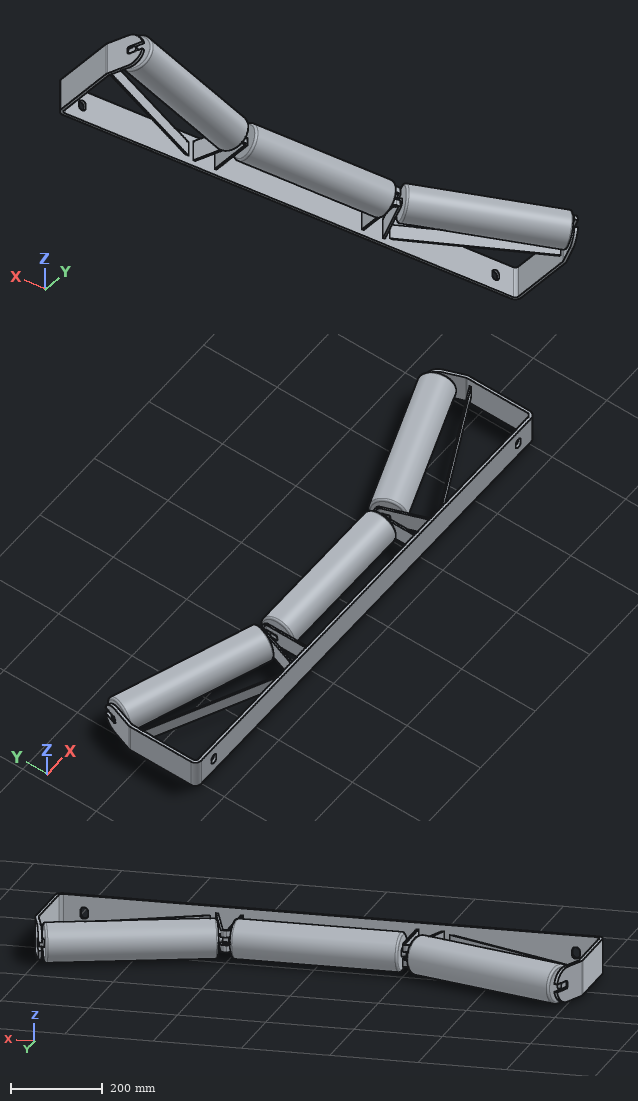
import cadquery as cq
import math


FRAME_LENGTH = 1240.0
STRIP_WIDTH = 80.0
FRAME_THICKNESS = 8.0
FRAME_INNER_BEND_RADIUS = 8.0
ARM_BEND_HEIGHT = 184.0
ARM_LENGTH = 96.0
TROUGH_ANGLE = 20.0
MOUNT_HOLE_SPACING = 1114.0
MOUNT_HOLE_WIDTH = 18.0
MOUNT_HOLE_LENGTH = 26.0

ROLLER_DIAMETER = 89.0
ROLLER_LENGTH = 380.0
ROLLER_EDGE_RADIUS = 5.0
SHAFT_DIAMETER = 20.0
SHAFT_FLAT_WIDTH = 14.0
SHAFT_LENGTH = 402.0
CENTER_ROLLER_HEIGHT = 102.5
OVERALL_HEIGHT = 281.47

SUPPORT_DISTANCE = 196.0

SLOT_WIDTH = 18.0
SLOT_CORNER_RADIUS = 5.0
SLOT_CUT_HEIGHT = 60.0

BRACKET_WIDTH = 50.0
BRACKET_THICKNESS = 5.0
BRACKET_INNER_BEND_RADIUS = 1.0
BRACKET_HEIGHT = 128.5

BRACE_THICKNESS = 4.0
BRACE_WIDTH = 36.0
BRACE_WALL_HEIGHT = 174.0
BRACE_FOOT_X = 271.0

SIN_TROUGH = math.sin(math.radians(TROUGH_ANGLE))
COS_TROUGH = math.cos(math.radians(TROUGH_ANGLE))
TAN_TROUGH = math.tan(math.radians(TROUGH_ANGLE))
TAN_HALF_TROUGH = math.tan(math.radians(TROUGH_ANGLE / 2))

HALF_LENGTH = FRAME_LENGTH / 2

SIDE_ROLLER_Y = (
    OVERALL_HEIGHT
    - ROLLER_EDGE_RADIUS
    - (ROLLER_LENGTH / 2 - ROLLER_EDGE_RADIUS) * SIN_TROUGH
    - (ROLLER_DIAMETER / 2 - ROLLER_EDGE_RADIUS) * COS_TROUGH
)
SIDE_ROLLER_X = HALF_LENGTH - (
    SUPPORT_DISTANCE + FRAME_THICKNESS + (SIDE_ROLLER_Y - ARM_BEND_HEIGHT) * SIN_TROUGH
) / COS_TROUGH


def strip_solid(outline, width):
    """Extrude an XY outline symmetrically about Z = 0."""
    return cq.Workplane("XY").polyline(outline).close().extrude(width / 2, both=True)


def round_bends(solid, corners, radius):
    """Round the edges that run along Z through the given XY corners."""
    for x, y in corners:
        edge = cq.selectors.NearestToPointSelector((x, y, 0))
        solid = solid.edges("|Z").edges(edge).fillet(radius)
    return solid


def on_side_axis(shape):
    """Carry a shape built around the X axis to the axis of the left side roller."""
    tilted = shape.rotate((0, 0, 0), (0, 0, 1), -TROUGH_ANGLE)
    return tilted.translate((-SIDE_ROLLER_X, SIDE_ROLLER_Y, 0))


def mirrored(shape):
    """Right-hand counterpart of a left-hand shape."""
    return shape.mirror("YZ")


def slot_cutter(start_x, length):
    """Shaft slot through a sheet crossing the X axis, open towards +Y."""
    cutter = cq.Workplane("XY").box(length, SLOT_CUT_HEIGHT, SLOT_WIDTH, centered=(False, False, True))
    cutter = cutter.edges("|X and <Y").fillet(SLOT_CORNER_RADIUS)
    return cutter.translate((start_x, -SHAFT_DIAMETER / 2, 0))


def arm_tip_cutter():
    """Stock outside the half-round end of the left arm, in the axes of the side roller."""
    bend_y = (ARM_BEND_HEIGHT - SIDE_ROLLER_Y) * COS_TROUGH - (HALF_LENGTH - SIDE_ROLLER_X) * SIN_TROUGH
    tip_radius = STRIP_WIDTH / 2
    round_center_y = bend_y + ARM_LENGTH - tip_radius
    block = cq.Workplane("XY").box(
        2 * FRAME_THICKNESS, STRIP_WIDTH, 2 * STRIP_WIDTH, centered=(True, False, True)
    )
    disc = cq.Workplane("YZ").circle(tip_radius).extrude(FRAME_THICKNESS, both=True)
    return block.cut(disc).translate((-SUPPORT_DISTANCE - FRAME_THICKNESS / 2, round_center_y, 0))


def make_frame():
    t = FRAME_THICKNESS
    tip_x = -HALF_LENGTH + ARM_LENGTH * SIN_TROUGH
    tip_y = ARM_BEND_HEIGHT + ARM_LENGTH * COS_TROUGH
    outer_bends = [(-HALF_LENGTH, 0), (-HALF_LENGTH, ARM_BEND_HEIGHT)]
    inner_bends = [(-HALF_LENGTH + t, t), (-HALF_LENGTH + t, ARM_BEND_HEIGHT - t * TAN_HALF_TROUGH)]
    tip = [(tip_x, tip_y), (tip_x + t * COS_TROUGH, tip_y - t * SIN_TROUGH)]
    half_frame = strip_solid([(0, 0)] + outer_bends + tip + inner_bends[::-1] + [(0, t)], STRIP_WIDTH)
    half_frame = round_bends(half_frame, outer_bends, FRAME_INNER_BEND_RADIUS + t)
    half_frame = round_bends(half_frame, inner_bends, FRAME_INNER_BEND_RADIUS)

    half_frame = half_frame.cut(on_side_axis(arm_tip_cutter()))
    slot = slot_cutter(-SUPPORT_DISTANCE - 2 * t, 3 * t)
    half_frame = half_frame.cut(on_side_axis(slot))

    mount_hole = (
        cq.Workplane("XZ")
        .center(-MOUNT_HOLE_SPACING / 2, 0)
        .slot2D(MOUNT_HOLE_LENGTH, MOUNT_HOLE_WIDTH, 90)
        .extrude(-t)
    )
    half_frame = half_frame.cut(mount_hole)
    return half_frame.union(mirrored(half_frame)).clean()


def make_bracket():
    """Left folded bracket: an upright leg, a level ridge and a leg tilted with the side roller."""
    t = BRACKET_THICKNESS
    foot_y = FRAME_THICKNESS
    face_x = -SIDE_ROLLER_X + SUPPORT_DISTANCE * COS_TROUGH
    face_y = SIDE_ROLLER_Y - SUPPORT_DISTANCE * SIN_TROUGH

    def tilted_face_x(y):
        return face_x + (y - face_y) * TAN_TROUGH

    upright_x = -SUPPORT_DISTANCE
    leg_thickness_x = t / COS_TROUGH
    under_ridge_y = BRACKET_HEIGHT - t
    outer_bends = [(upright_x, BRACKET_HEIGHT), (tilted_face_x(BRACKET_HEIGHT), BRACKET_HEIGHT)]
    inner_bends = [
        (tilted_face_x(under_ridge_y) + leg_thickness_x, under_ridge_y),
        (upright_x - t, under_ridge_y),
    ]
    feet_tilted = [
        (tilted_face_x(foot_y), foot_y),
        (tilted_face_x(foot_y) + leg_thickness_x, foot_y),
    ]
    feet_upright = [(upright_x - t, foot_y), (upright_x, foot_y)]
    bracket = strip_solid(outer_bends + feet_tilted + inner_bends + feet_upright, BRACKET_WIDTH)
    bracket = round_bends(bracket, outer_bends, BRACKET_INNER_BEND_RADIUS + t)
    bracket = round_bends(bracket, inner_bends, BRACKET_INNER_BEND_RADIUS)

    upright_slot = slot_cutter(upright_x - 2 * t, 3 * t).translate((0, CENTER_ROLLER_HEIGHT, 0))
    tilted_slot = on_side_axis(slot_cutter(SUPPORT_DISTANCE - t, 3 * t))
    return bracket.cut(upright_slot).cut(tilted_slot)


def make_brace():
    """Left flat brace from the frame wall down to the frame base."""
    wall_x = -HALF_LENGTH + FRAME_THICKNESS
    foot_y = FRAME_THICKNESS
    slope = math.atan2(BRACE_WALL_HEIGHT - foot_y, -BRACE_FOOT_X - wall_x)
    outline = [
        (wall_x, BRACE_WALL_HEIGHT),
        (-BRACE_FOOT_X, foot_y),
        (-BRACE_FOOT_X - BRACE_THICKNESS / math.sin(slope), foot_y),
        (wall_x, BRACE_WALL_HEIGHT - BRACE_THICKNESS / math.cos(slope)),
    ]
    return strip_solid(outline, BRACE_WIDTH)


def round_bar(diameter, length):
    """Round bar along X, centred on the origin."""
    return cq.Workplane("YZ").circle(diameter / 2).extrude(length).translate((-length / 2, 0, 0))


def make_roller():
    """Roller along X at the origin, with a shaft flatted where it rests in the slots."""
    drum = round_bar(ROLLER_DIAMETER, ROLLER_LENGTH).faces("|X").edges().fillet(ROLLER_EDGE_RADIUS)
    shaft_core = round_bar(SHAFT_DIAMETER, 2 * SUPPORT_DISTANCE)
    flats = cq.Workplane("XY").box(SHAFT_LENGTH, SHAFT_DIAMETER, SHAFT_FLAT_WIDTH)
    shaft_ends = round_bar(SHAFT_DIAMETER, SHAFT_LENGTH).intersect(flats)
    return drum.union(shaft_core).union(shaft_ends)


frame = make_frame()

bracket_left = make_bracket()
brackets = [bracket_left, mirrored(bracket_left)]

brace_left = make_brace()
braces = [brace_left, mirrored(brace_left)]

side_roller_left = on_side_axis(make_roller())
center_roller = make_roller().translate((0, CENTER_ROLLER_HEIGHT, 0))
rollers = [side_roller_left, center_roller, mirrored(side_roller_left)]

bodies = [frame] + brackets + braces + rollers
result = cq.Compound.makeCompound([solid for body in bodies for solid in body.solids().vals()])